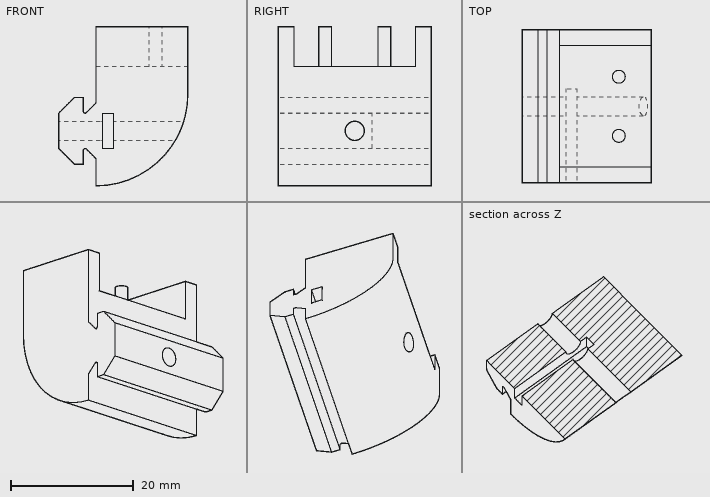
import cadquery as cq
import math

total_length = 21.1
width = 25.0
height = 26.0

body_length = 15.0
wall_thickness = 2.6
recess_depth = 6.5

rail_depth = total_length - body_length
rail_center_z = 9.0
rail_half_height = 5.45
rail_chamfer = 2.6
flange_thickness = 4.05
groove_mouth_half_height = 4.55
groove_fillet = 0.29
flange_back_x = flange_thickness - rail_depth
neck_half_height = groove_mouth_half_height + flange_back_x

pin_diameter = 2.1
pin_spacing = 9.65
pin_back_offset = 5.33

hole_diameter = 3.1
slot_thickness = 1.8
slot_height = 5.7
slot_wall_offset = 1.05
slot_depth = (width + slot_height) / 2

floor_z = height - recess_depth


def extrude_across(sketch):
    """Extrude an XZ outline over the full width, centred on Y = 0."""
    return sketch.close().extrude(width / 2, both=True)


def make_body():
    arc_offset = body_length * math.sqrt(0.5)
    outline = (
        cq.Workplane("XZ")
        .lineTo(0, height)
        .lineTo(body_length, height)
        .lineTo(body_length, body_length)
        .threePointArc((arc_offset, body_length - arc_offset), (0, 0))
    )
    recess = cq.Workplane("XY").box(
        body_length, width - 2 * wall_thickness, recess_depth, centered=(False, True, False)
    ).translate((0, 0, floor_z))
    return extrude_across(outline).cut(recess)


def make_rail():
    """Chamfered flange on a neck that widens at 45 degrees toward the body."""
    upper_half = [
        (-rail_depth, rail_half_height - rail_chamfer),
        (-rail_depth + rail_chamfer, rail_half_height),
        (flange_back_x, rail_half_height),
        (flange_back_x, neck_half_height),
        (0, groove_mouth_half_height),
        (body_length / 2, groove_mouth_half_height),
    ]
    lower_half = [(x, -z) for x, z in reversed(upper_half)]
    outline = cq.Workplane("XZ", origin=(0, 0, rail_center_z)).polyline(upper_half + lower_half)
    return extrude_across(outline)


def round_grooves(part):
    """Round the groove bottoms and the edges where the necks meet the wall."""
    corners = [(flange_back_x, neck_half_height), (0, groove_mouth_half_height)]
    for x, half_height in corners:
        for side in (-1, 1):
            corner = (x, 0, rail_center_z + side * half_height)
            part = part.edges(cq.NearestToPointSelector(corner)).fillet(groove_fillet)
    return part


def make_pins():
    return (
        cq.Workplane("XY", origin=(body_length - pin_back_offset, 0, floor_z))
        .rarray(0.25, pin_spacing, 1, 2)
        .circle(pin_diameter / 2)
        .extrude(recess_depth)
    )


def make_screw_hole():
    return (
        cq.Workplane("YZ", origin=(-rail_depth, 0, rail_center_z))
        .circle(hole_diameter / 2)
        .extrude(total_length)
    )


def make_nut_slot():
    """Slot open on the -Y face, ending half a nut width beyond the screw axis."""
    return cq.Workplane("XY").box(
        slot_thickness, slot_depth, slot_height, centered=(False, False, True)
    ).translate((slot_wall_offset, -width / 2, rail_center_z))


result = round_grooves(make_body().union(make_rail()))
result = result.union(make_pins()).cut(make_screw_hole()).cut(make_nut_slot())